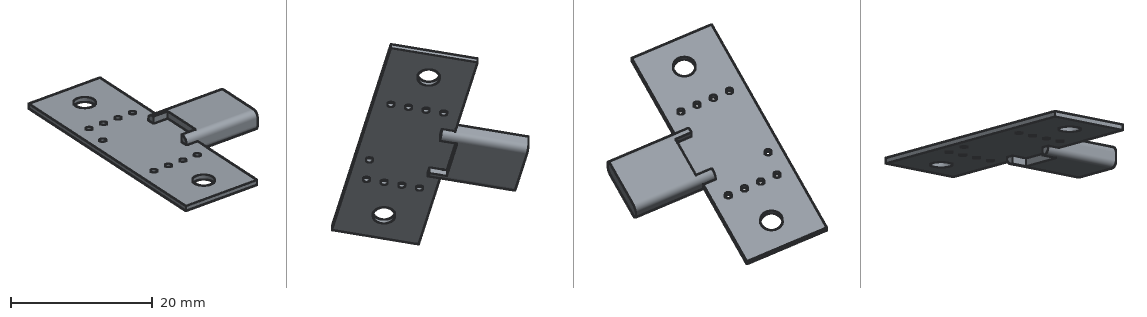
import cadquery as cq

board_length = 37.0
board_depth = 12.58
board_thickness = 0.8

shell_width = 9.03
shell_height = 3.15
shell_corner_radius = 1.0
shell_back_y = 23.2
shell_front_y = 10.62

notch_width = 6.55
notch_end_y = 13.15

mount_hole_diameter = 3.2
mount_hole_spacing = 28.0
mount_hole_y = 6.5
pin_hole_diameter = 1.0
pin_column_spacing = 15.25
pin_pitch = 2.55
pins_per_column = 4
first_pin_y = 2.5
single_hole_x = -3.77
single_hole_y = 2.05


def block(width, height, start_y, end_y):
    """Box centred on X and Z that spans start_y to end_y."""
    depth = end_y - start_y
    return cq.Workplane("XY").box(width, depth, height).translate((0, start_y + depth / 2, 0))


def mount_hole_points():
    return [(side * mount_hole_spacing / 2, mount_hole_y) for side in (-1, 1)]


def pin_hole_points():
    columns = [
        (side * pin_column_spacing / 2, first_pin_y + row * pin_pitch)
        for side in (-1, 1)
        for row in range(pins_per_column)
    ]
    return columns + [(single_hole_x, single_hole_y)]


def drills(points, diameter):
    """Cylinders that pass through the whole board thickness."""
    return (
        cq.Workplane("XY", origin=(0, 0, -board_thickness / 2))
        .pushPoints(points)
        .circle(diameter / 2)
        .extrude(board_thickness)
    )


def make_board():
    plate = block(board_length, board_thickness, 0, board_depth)
    tab = block(notch_width, board_thickness, shell_front_y, notch_end_y)
    return (
        plate.union(tab)
        .cut(drills(mount_hole_points(), mount_hole_diameter))
        .cut(drills(pin_hole_points(), pin_hole_diameter))
    )


def make_shell():
    body = block(shell_width, shell_height, shell_front_y, shell_back_y)
    rounded_body = body.edges("|Y").fillet(shell_corner_radius)
    notch = block(notch_width, shell_height, shell_front_y, notch_end_y)
    board_slot = block(shell_width, board_thickness, shell_front_y, board_depth)
    return rounded_body.cut(notch).cut(board_slot)


board = make_board()
shell = make_shell()

result = cq.Compound.makeCompound([board.val(), shell.val()])